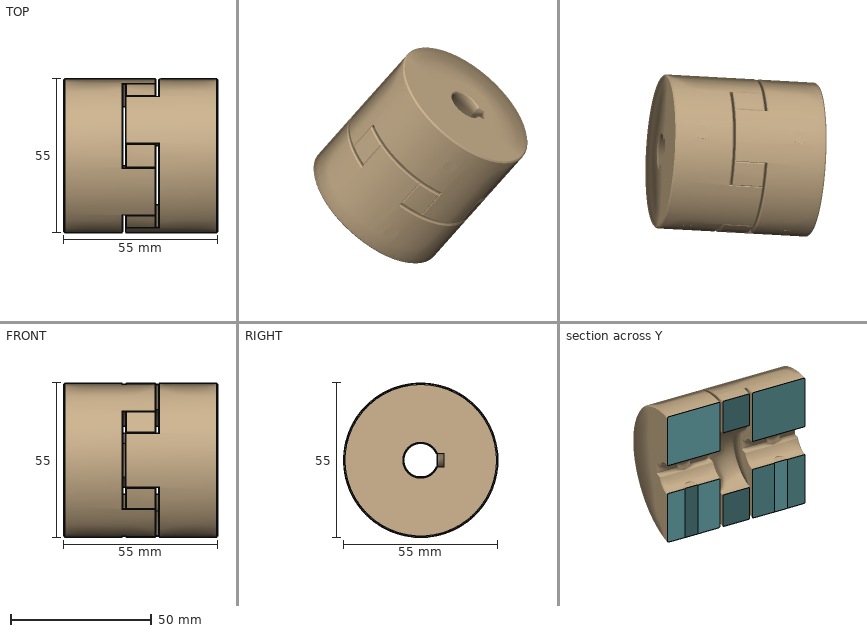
import cadquery as cq
import math


length = 55.0
outer_radius = 27.5
rim_chamfer = 0.5
wide_chamfer = 0.4
narrow_chamfer = 0.3

hub_face = 6.4
jaw_tip = 5.45
half_length = length / 2

jaw_count = 3
pad_count = 2 * jaw_count
jaw_pitch = 360 / jaw_count
pad_pitch = 360 / pad_count
first_pad_angle = pad_pitch / 2
jaw_inner_radius = 18.4
pad_half_angle_inner = 11.1
pad_half_angle_outer = 9.1
flank_bulge = 0.6
spider_bore_radius = 13.5

bore_radius = 6.0
bore_chamfer = 0.4
keyway_width = 4.95
keyway_bottom = 8.25

screw_radius = keyway_width / 2
screw_inner_end = 5.85
screw_position = 17.8
screw_directions = [(0, 1, 0), (0, 0, -1)]

tolerance = 0.005


def ring_point(radius, angle):
    """Point (y, z) on a circle; the angle starts at -Y and turns toward +Z."""
    turn = math.radians(angle)
    return (-radius * math.cos(turn), radius * math.sin(turn))


def flank(pad_angle, side):
    """Inner, middle and outer point of the pad flank on the side -1 or +1."""
    inner = ring_point(jaw_inner_radius, pad_angle + side * pad_half_angle_inner)
    outer = ring_point(outer_radius, pad_angle + side * pad_half_angle_outer)
    rise = ring_point(side * flank_bulge, pad_angle + 90)
    middle = tuple((i + o) / 2 + r for i, o, r in zip(inner, outer, rise))
    return inner, middle, outer


def sector(low_flank, high_flank, mid_angle, end):
    """Solid between two flanks and two arcs, from x = -end to x = jaw_tip."""
    low_inner, low_middle, low_outer = low_flank
    high_inner, high_middle, high_outer = high_flank
    return (
        cq.Workplane("YZ", origin=(-end, 0, 0))
        .moveTo(*low_inner)
        .threePointArc(low_middle, low_outer)
        .threePointArc(ring_point(outer_radius, mid_angle), high_outer)
        .threePointArc(high_middle, high_inner)
        .threePointArc(ring_point(jaw_inner_radius, mid_angle), low_inner)
        .close()
        .extrude(end + jaw_tip)
    )


def break_edges(body, size, nearest, farthest):
    """Chamfer the edges on the outer cylinder whose middle is that far from the middle plane."""
    edges = []
    for edge in body.edges().vals():
        points = edge.positions([0, 0.5, 1])
        on_cylinder = all(abs(math.hypot(p.y, p.z) - outer_radius) < tolerance for p in points)
        distance = abs(edge.Center().x)
        if on_cylinder and nearest - tolerance < distance < farthest + tolerance:
            edges.append(edge)
    return body.newObject(edges).chamfer(size)


def make_set_screw(direction):
    """Screw on the -X side, from the bore to the outer radius."""
    start = cq.Vector(*direction) * screw_inner_end + cq.Vector(-screw_position, 0, 0)
    plane = cq.Plane(start, (1, 0, 0), direction)
    return cq.Workplane(plane).circle(screw_radius).extrude(outer_radius - screw_inner_end)


def cut_screw_hole(hub, direction):
    """Radial hole on the -X side, from the axis through the outer surface."""
    plane = cq.Plane((-screw_position, 0, 0), (1, 0, 0), direction)
    return hub.cut(cq.Workplane(plane).circle(screw_radius).extrude(outer_radius))


def make_hub(first_jaw_angle):
    """Hub on the -X side with its jaws pointing toward +X."""
    hub = (
        cq.Workplane("XZ")
        .moveTo(-half_length, bore_radius + bore_chamfer)
        .lineTo(-half_length, outer_radius - rim_chamfer)
        .lineTo(-half_length + rim_chamfer, outer_radius)
        .lineTo(jaw_tip, outer_radius)
        .lineTo(jaw_tip, jaw_inner_radius)
        .lineTo(-hub_face, jaw_inner_radius)
        .lineTo(-hub_face, bore_radius)
        .lineTo(-half_length + bore_chamfer, bore_radius)
        .close()
        .revolve(360, (0, 0, 0), (1, 0, 0))
    )

    for i in range(jaw_count):
        gap_angle = first_jaw_angle + (i + 0.5) * jaw_pitch
        low_flank = flank(gap_angle - pad_pitch / 2, -1)
        high_flank = flank(gap_angle + pad_pitch / 2, 1)
        hub = hub.cut(sector(low_flank, high_flank, gap_angle, hub_face))
    hub = break_edges(hub, wide_chamfer, hub_face, hub_face)
    hub = break_edges(hub, narrow_chamfer, 0, jaw_tip)

    keyway = cq.Workplane("XY").box(
        half_length, keyway_bottom, keyway_width, centered=(False, False, True)
    )
    hub = hub.cut(keyway.translate((-half_length, 0, 0)))

    for direction in screw_directions:
        hub = cut_screw_hole(hub, direction)
    return hub


def make_spider():
    """Ring inside the jaws that carries the pads."""
    spider = (
        cq.Workplane("YZ", origin=(-jaw_tip, 0, 0))
        .circle(jaw_inner_radius)
        .circle(spider_bore_radius)
        .extrude(2 * jaw_tip)
    )
    for i in range(pad_count):
        pad_angle = first_pad_angle + i * pad_pitch
        pad = sector(flank(pad_angle, -1), flank(pad_angle, 1), pad_angle, jaw_tip)
        spider = spider.union(pad)
    spider = break_edges(spider, narrow_chamfer, 0, 0)
    return break_edges(spider, wide_chamfer, jaw_tip, jaw_tip)


left_hub = make_hub(first_jaw_angle=pad_pitch)
right_hub = make_hub(first_jaw_angle=0).mirror("YZ")
spider = make_spider()

set_screws = []
for direction in screw_directions:
    screw = make_set_screw(direction)
    set_screws.append(screw.val())
    set_screws.append(screw.mirror("YZ").val())

result = cq.Compound.makeCompound(
    [left_hub.solids().val(), right_hub.solids().val(), spider.solids().val(), *set_screws]
)